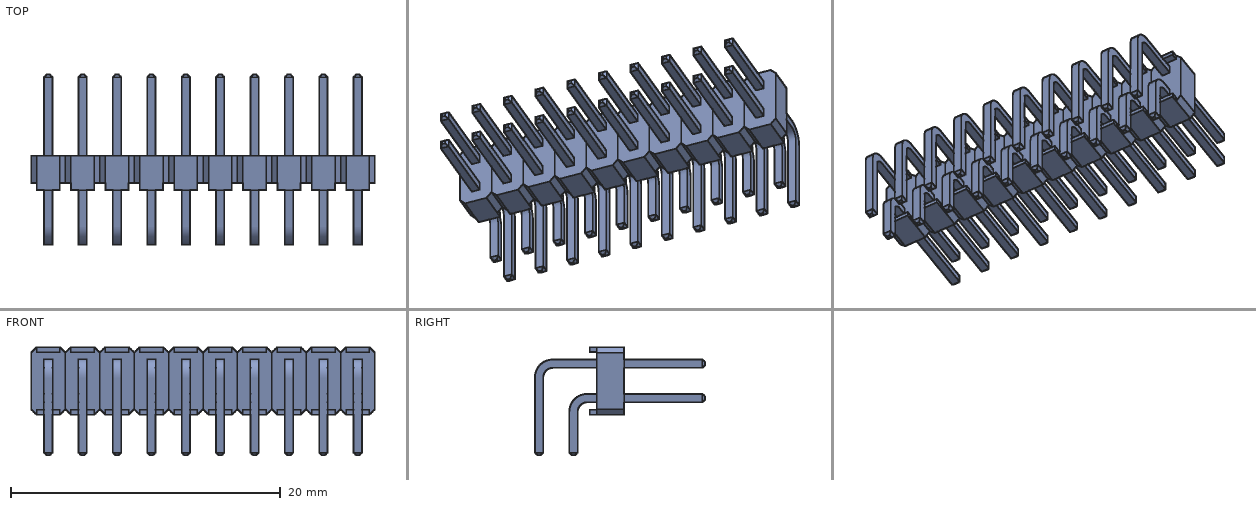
import cadquery as cq


COLUMN_COUNT = 10
PITCH = 2.55

BLOCK_DEPTH = 2.03
BLOCK_HEIGHT = 5.0
BLOCK_CHAMFER = 0.4
LEDGE_LENGTH = PITCH - BLOCK_DEPTH
LEDGE_WIDTH = PITCH - 2 * BLOCK_CHAMFER
LEDGE_THICKNESS = 0.38

PIN_WIDTH = 0.64
TIP_CHAMFER = 0.2
BEND_RADIUS = 1.02
STRAIGHT_REACH = 6.0
INNER_LEG_OFFSET = 1.7
LEG_REACH = 3.0


def make_block():
    """Octagonal insulator block with a ledge along its top and bottom front edges."""
    block = (
        cq.Workplane("XY")
        .box(PITCH, BLOCK_DEPTH, BLOCK_HEIGHT)
        .edges("|Y")
        .chamfer(BLOCK_CHAMFER)
        .translate((0, BLOCK_DEPTH / 2, 0))
    )
    ledge = cq.Workplane("XY").box(LEDGE_WIDTH, LEDGE_LENGTH, LEDGE_THICKNESS)
    ledge_height = (BLOCK_HEIGHT - LEDGE_THICKNESS) / 2
    for side in (1, -1):
        block = block.union(ledge.translate((0, -LEDGE_LENGTH / 2, side * ledge_height)))
    return block


def make_pin(row_height, leg_offset):
    """Square pin bent down by 90 degrees, with both ends chamfered."""
    back_end = BLOCK_DEPTH + STRAIGHT_REACH
    leg_end = -BLOCK_HEIGHT / 2 - LEG_REACH
    centreline = (
        cq.Workplane("YZ")
        .moveTo(back_end, row_height)
        .lineTo(BEND_RADIUS - leg_offset, row_height)
        .radiusArc((-leg_offset, row_height - BEND_RADIUS), -BEND_RADIUS)
        .lineTo(-leg_offset, leg_end)
    )
    pin = (
        cq.Workplane("XZ", origin=(0, back_end, row_height))
        .rect(PIN_WIDTH, PIN_WIDTH)
        .sweep(centreline)
    )
    return pin.faces(">Y").chamfer(TIP_CHAMFER).faces("<Z").chamfer(TIP_CHAMFER)


def make_column():
    """One block with its upper (outer) and lower (inner) pins, as a single solid."""
    upper_pin = make_pin(PITCH / 2, INNER_LEG_OFFSET + PITCH)
    lower_pin = make_pin(-PITCH / 2, INNER_LEG_OFFSET)
    return make_block().union(upper_pin).union(lower_pin)


column = make_column()
first_column_x = -PITCH * (COLUMN_COUNT - 1) / 2
columns = [
    column.translate((first_column_x + index * PITCH, 0, 0)).val()
    for index in range(COLUMN_COUNT)
]

result = cq.Compound.makeCompound(columns)